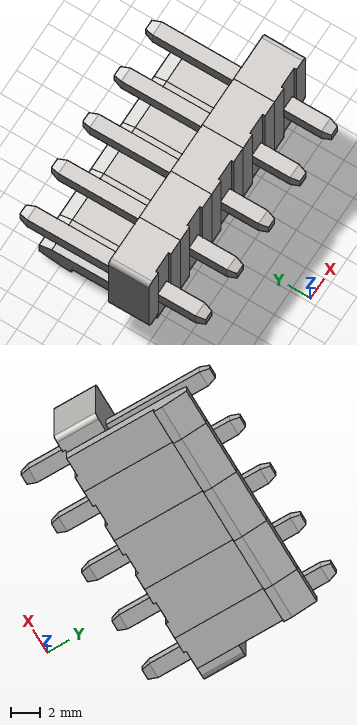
import cadquery as cq


module_count = 5
total_width = 19.74
total_height = 8.6
pin_span = 15.85
pitch = pin_span / (module_count - 1)

wall_depth = 3.22
wall_corner_radius = 0.4

latch_width = 17.08
hook_drop = 0.47
latch_thickness = 1.35
latch_length = 9.48
latch_bevel_length = 0.99
latch_bevel_height = 0.34
hook_face_y = 6.93
hook_flat_length = 0.65
latch_top_z = hook_drop + latch_thickness

groove_width = 1.6
groove_depth = 0.2

pin_side = 1.15
pin_tip_side = 0.77
pin_taper_length = 0.67
pin_length = 14.6
pin_front_reach = 3.47
pin_axis_z = 3.8


def module_limits(index, row_width):
    """Left and right X of one module within a row of the given width."""
    first_joint = -pitch * (module_count - 2) / 2
    left = first_joint + pitch * (index - 1)
    right = left + pitch
    if index == 0:
        left = -row_width / 2
    if index == module_count - 1:
        right = row_width / 2
    return left, right


def make_wall(index):
    """Upright block; the outer corners of the two end modules are rounded."""
    left, right = module_limits(index, total_width)
    wall = cq.Workplane("XY").box(
        right - left, wall_depth, total_height - latch_top_z, centered=False
    ).translate((left, 0, latch_top_z))
    if index == 0:
        wall = wall.faces("<X").edges("|Y").fillet(wall_corner_radius)
    if index == module_count - 1:
        wall = wall.faces(">X").edges("|Y").fillet(wall_corner_radius)
    return wall


def make_latch(index):
    """Plate with a bevelled back end and a downward hook."""
    left, right = module_limits(index, latch_width)
    profile = [
        (0, hook_drop),
        (0, latch_top_z),
        (latch_length - latch_bevel_length, latch_top_z),
        (latch_length, latch_top_z - latch_bevel_height),
        (latch_length, hook_drop),
        (hook_face_y + hook_flat_length, 0),
        (hook_face_y, 0),
        (hook_face_y, hook_drop),
    ]
    return cq.Workplane("YZ", origin=(left, 0, 0)).polyline(profile).close().extrude(right - left)


def make_groove(pin_x):
    """Cutter for the full-height groove in the front face."""
    return cq.Workplane("XY").box(
        groove_width, groove_depth, total_height, centered=(True, False, False)
    ).translate((pin_x, 0, 0))


def make_pin(pin_x):
    """Square pin along Y: a shank between two tapered tips."""
    shank_front_y = pin_taper_length - pin_front_reach
    shank_back_y = pin_length - pin_front_reach - pin_taper_length
    shank = cq.Workplane("XZ", origin=(pin_x, shank_front_y, pin_axis_z)).rect(pin_side, pin_side)
    shank = shank.extrude(shank_front_y - shank_back_y)
    pin = shank
    for end in ("<Y", ">Y"):
        tip = shank.faces(end).workplane(centerOption="CenterOfMass").rect(pin_side, pin_side)
        tip = tip.workplane(offset=pin_taper_length).rect(pin_tip_side, pin_tip_side)
        pin = pin.union(tip.loft(combine=False))
    return pin


def make_module(index):
    """One complete header module as a single solid."""
    pin_x = pitch * index - pin_span / 2
    insulator = make_wall(index).union(make_latch(index)).cut(make_groove(pin_x))
    return insulator.union(make_pin(pin_x)).solids().val()


modules = [make_module(index) for index in range(module_count)]

result = cq.Compound.makeCompound(modules)